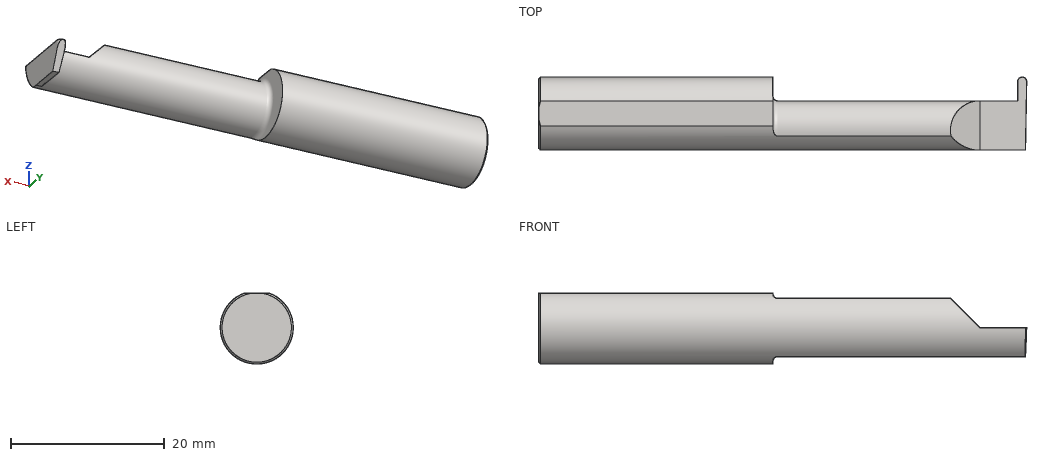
import cadquery as cq
import math

total_length = 63.5
shank_diameter = 9.525
shank_radius = shank_diameter / 2
shank_length = 30.48
flat_height = 4.48
chamfer_length = 0.25
chamfer_depth = 0.25

neck_radius = 3.83
neck_side = 1.67
neck_axis_y = neck_side - neck_radius
shoulder_fillet = 0.6

rake_face_start = 57.4
ramp_angle = 45.0

blade_width = 1.2
nose_radius = blade_width / 2
blade_tip_y = shank_radius
side_clearance = 2.0
nose_clearance = 28.0
end_relief = 1.0

overcut = 5.0


def make_shank():
    """Round shank with a chamfered end."""
    profile = [
        (0, 0),
        (0, shank_radius - chamfer_depth),
        (chamfer_length, shank_radius),
        (shank_length, shank_radius),
        (shank_length, 0),
    ]
    shank = cq.Workplane("XY").polyline(profile).close().revolve(360, (0, 0, 0), (1, 0, 0))
    above_flat = cq.Workplane("XY").box(
        total_length, shank_diameter, overcut, centered=(False, True, False)
    ).translate((0, 0, flat_height))
    return shank.cut(above_flat)


def make_neck():
    """Offset neck with a fillet flare at the shoulder, kept inside the shank's cylinder."""
    flare_radius = neck_radius + shoulder_fillet
    arc_offset = shoulder_fillet * (1 - math.sqrt(0.5))
    neck = (
        cq.Workplane("XY", origin=(0, neck_axis_y, 0))
        .moveTo(shank_length, 0)
        .lineTo(shank_length, flare_radius)
        .threePointArc(
            (shank_length + arc_offset, neck_radius + arc_offset),
            (shank_length + shoulder_fillet, neck_radius),
        )
        .lineTo(total_length, neck_radius)
        .lineTo(total_length, 0)
        .close()
        .revolve(360, (0, 0, 0), (1, 0, 0))
    )
    envelope = cq.Workplane("YZ").circle(shank_radius).extrude(total_length)
    return neck.intersect(envelope)


def make_head_cut():
    """Space above the rake face and the ramp behind it."""
    cut_height = shank_diameter
    ramp_run = cut_height / math.tan(math.radians(ramp_angle))
    return (
        cq.Workplane("XZ", origin=(0, shank_diameter, 0))
        .moveTo(rake_face_start, 0)
        .lineTo(total_length + overcut, 0)
        .lineTo(total_length + overcut, cut_height)
        .lineTo(rake_face_start - ramp_run, cut_height)
        .close()
        .extrude(2 * shank_diameter)
    )


def make_blade():
    """Round-nosed blade with clearance on its flanks and below its nose."""
    back = total_length - blade_width
    nose_start = blade_tip_y - nose_radius
    blade = (
        cq.Workplane("XY")
        .moveTo(back, neck_axis_y)
        .lineTo(total_length, neck_axis_y)
        .lineTo(total_length, nose_start)
        .threePointArc((total_length - nose_radius, blade_tip_y), (back, nose_start))
        .close()
        .extrude(-neck_radius, taper=side_clearance)
    )
    nose_setback = neck_radius * math.tan(math.radians(nose_clearance))
    below_nose = (
        cq.Workplane("YZ")
        .moveTo(blade_tip_y, 0)
        .lineTo(blade_tip_y + overcut, 0)
        .lineTo(blade_tip_y + overcut, -neck_radius)
        .lineTo(blade_tip_y - nose_setback, -neck_radius)
        .close()
        .extrude(total_length + overcut)
    )
    return blade.cut(below_nose)


def make_end_relief():
    """Wedge past the end face, which falls back from the nose towards -Y and below the rake face."""
    nose_start = blade_tip_y - nose_radius
    relief_run = nose_start + shank_diameter
    setback = relief_run * math.tan(math.radians(end_relief))
    wedge = (
        cq.Workplane("XY", origin=(0, 0, -shank_diameter))
        .moveTo(total_length, nose_start)
        .lineTo(total_length + overcut, nose_start)
        .lineTo(total_length + overcut, -shank_diameter)
        .lineTo(total_length - setback, -shank_diameter)
        .close()
        .extrude(2 * shank_diameter)
    )
    return wedge.rotate((total_length, 0, 0), (total_length, 1, 0), side_clearance)


bar = make_shank().union(make_neck()).cut(make_head_cut())
result = bar.union(make_blade()).cut(make_end_relief())